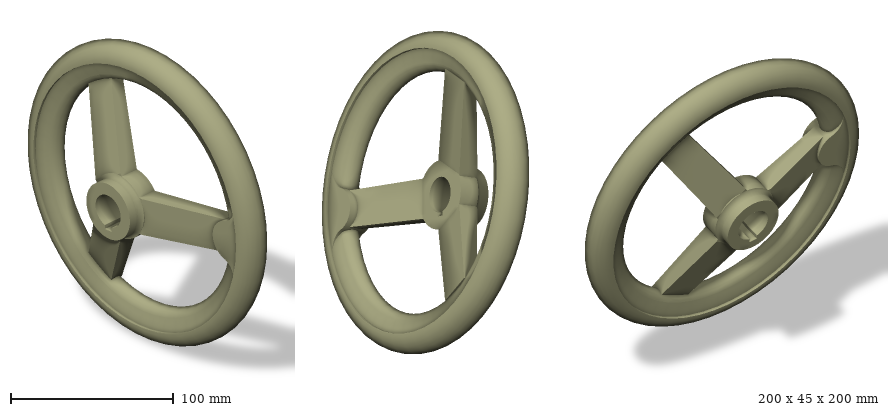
import cadquery as cq
import math


wheel_radius = 100.0
grip_radius = 11.0
grip_center_radius = wheel_radius - grip_radius
web_outer_radius = 88.5
web_half_width = 9.0
tip_radius = 6.5
rim_inner_radius = 75.0
tip_center_radius = rim_inner_radius + tip_radius

hub_radius = 21.5
collar_radius = 19.0
hub_front = -34.0
cove_front = -27.8
hub_shoulder = -24.5
hub_back = -grip_radius
bore_radius = 11.0
keyway_width = 5.5
keyway_reach = 13.5

spoke_count = 3
spoke_start = 17.0
slope_start = 19.5
spoke_end = 77.0
spoke_start_half_width = 12.5
spoke_end_half_width = 11.5
spoke_slope = 0.37
spoke_start_front = hub_shoulder
spoke_start_thickness = 13.0
spoke_end_thickness = 9.5

boss_radius = 13.5
boss_center = 79.5
boss_half_length = web_half_width
boss_fillet_radius = 12.0


def make_rim():
    """Round grip with a recessed web that tapers to a rounded inner edge."""
    run = web_outer_radius - tip_center_radius
    reach = math.hypot(run, web_half_width)
    tangent_angle = math.atan2(web_half_width, run) + math.acos(tip_radius / reach)
    tangent_x = tip_center_radius + tip_radius * math.cos(tangent_angle)
    tangent_y = tip_radius * math.sin(tangent_angle)
    profile = (
        cq.Workplane("XY")
        .moveTo(grip_center_radius, -grip_radius)
        .threePointArc((wheel_radius, 0), (grip_center_radius, grip_radius))
        .lineTo(web_outer_radius, grip_radius)
        .lineTo(web_outer_radius, web_half_width)
        .lineTo(tangent_x, tangent_y)
        .threePointArc((rim_inner_radius, 0), (tangent_x, -tangent_y))
        .lineTo(web_outer_radius, -web_half_width)
        .lineTo(web_outer_radius, -grip_radius)
        .close()
    )
    return profile.revolve(360, (0, 0, 0), (0, 1, 0))


def make_hub():
    """Hub cylinder with a hollow curve down to the smaller front collar."""
    profile = (
        cq.Workplane("XY")
        .moveTo(0, hub_front)
        .lineTo(collar_radius, hub_front)
        .lineTo(collar_radius, cove_front)
        .tangentArcPoint((hub_radius, hub_shoulder), relative=False)
        .lineTo(hub_radius, hub_back)
        .lineTo(0, hub_back)
        .close()
    )
    return profile.revolve(360, (0, 0, 0), (0, 1, 0))


def make_spoke():
    """Spoke along +X: sloping side outline trimmed to a tapering width."""
    spoke_end_front = spoke_start_front + spoke_slope * (spoke_end - slope_start)
    side = (
        cq.Workplane("XY")
        .polyline([
            (spoke_start, spoke_start_front),
            (slope_start, spoke_start_front),
            (spoke_end, spoke_end_front),
            (spoke_end, spoke_end_front + spoke_end_thickness),
            (spoke_start, spoke_start_front + spoke_start_thickness),
        ])
        .close()
        .extrude(spoke_start_half_width, both=True)
    )
    width = (
        cq.Workplane("XZ")
        .polyline([
            (spoke_start, -spoke_start_half_width),
            (spoke_end, -spoke_end_half_width),
            (spoke_end, spoke_end_half_width),
            (spoke_start, spoke_start_half_width),
        ])
        .close()
        .extrude(-hub_front, both=True)
    )
    return side.intersect(width)


def make_boss():
    """Flat handle boss blending through concave arcs into the rim."""
    to_boss = boss_radius + boss_fillet_radius
    to_axis = web_outer_radius - boss_fillet_radius
    blend_x = (to_axis**2 - to_boss**2 + boss_center**2) / (2 * boss_center)
    blend_z = math.sqrt(to_axis**2 - blend_x**2)
    boss_share = boss_radius / to_boss
    boss_touch = (
        boss_center + (blend_x - boss_center) * boss_share,
        blend_z * boss_share,
    )
    web_scale = web_outer_radius / to_axis
    web_touch = (blend_x * web_scale, blend_z * web_scale)
    middle_x = (boss_touch[0] + web_touch[0]) / 2 - blend_x
    middle_z = (boss_touch[1] + web_touch[1]) / 2 - blend_z
    middle_scale = boss_fillet_radius / math.hypot(middle_x, middle_z)
    blend_middle = (blend_x + middle_x * middle_scale, blend_z + middle_z * middle_scale)

    def mirrored(point):
        return (point[0], -point[1])

    return (
        cq.Workplane("XZ")
        .moveTo(*web_touch)
        .threePointArc(blend_middle, boss_touch)
        .threePointArc((boss_center - boss_radius, 0), mirrored(boss_touch))
        .threePointArc(mirrored(blend_middle), mirrored(web_touch))
        .threePointArc((web_outer_radius, 0), web_touch)
        .close()
        .extrude(boss_half_length, both=True)
    )


def make_bore():
    """Through bore with a keyway on the -Z side."""
    hub_length = hub_back - hub_front
    keyway = cq.Workplane("XY").box(keyway_width, hub_length, keyway_reach).translate(
        (0, (hub_front + hub_back) / 2, -keyway_reach / 2)
    )
    bore = cq.Workplane("XZ", origin=(0, hub_back, 0)).circle(bore_radius).extrude(hub_length)
    return bore.union(keyway)


wheel = make_rim().union(make_boss()).union(make_hub())
for index in range(spoke_count):
    angle = index * 360 / spoke_count
    wheel = wheel.union(make_spoke().rotate((0, 0, 0), (0, 1, 0), angle))

result = wheel.cut(make_bore())